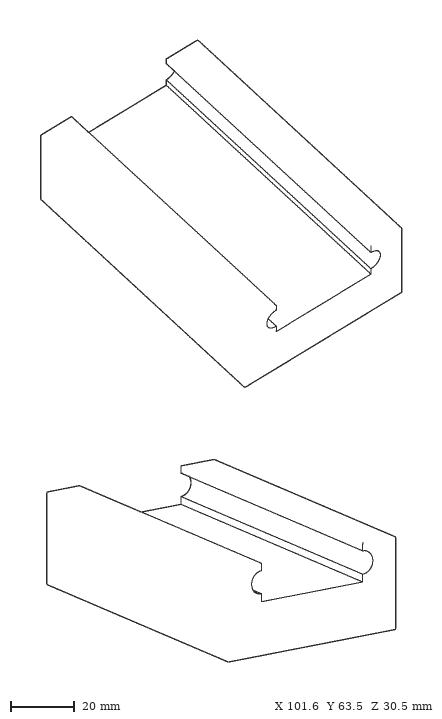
import cadquery as cq

length = 101.6
width = 63.5
height = 30.48

rail_width = 12.7
channel_width = width - 2 * rail_width
channel_depth = 12.7

groove_radius = 3.81
groove_depth_below_top = channel_depth / 2

edge_radius = 0.508


def make_profile():
    """Cross-section in the YZ plane, with the base at Z = 0."""
    wall_y = channel_width / 2
    floor_z = height - channel_depth
    groove_z = height - groove_depth_below_top
    groove_top = groove_z + groove_radius
    groove_bottom = groove_z - groove_radius
    groove_tip_y = wall_y + groove_radius
    return (
        cq.Workplane("YZ", origin=(-length / 2, 0, 0))
        .moveTo(-width / 2, 0)
        .lineTo(width / 2, 0)
        .lineTo(width / 2, height)
        .lineTo(wall_y, height)
        .lineTo(wall_y, groove_top)
        .threePointArc((groove_tip_y, groove_z), (wall_y, groove_bottom))
        .lineTo(wall_y, floor_z)
        .lineTo(-wall_y, floor_z)
        .lineTo(-wall_y, groove_bottom)
        .threePointArc((-groove_tip_y, groove_z), (-wall_y, groove_top))
        .lineTo(-wall_y, height)
        .lineTo(-width / 2, height)
        .close()
    )


def round_edges(body):
    """Round every edge of the rail tops, the two long sides and the base."""
    edges = body.faces(">Z or <Z or >Y or <Y").edges()
    return edges.fillet(edge_radius)


result = round_edges(make_profile().extrude(length))